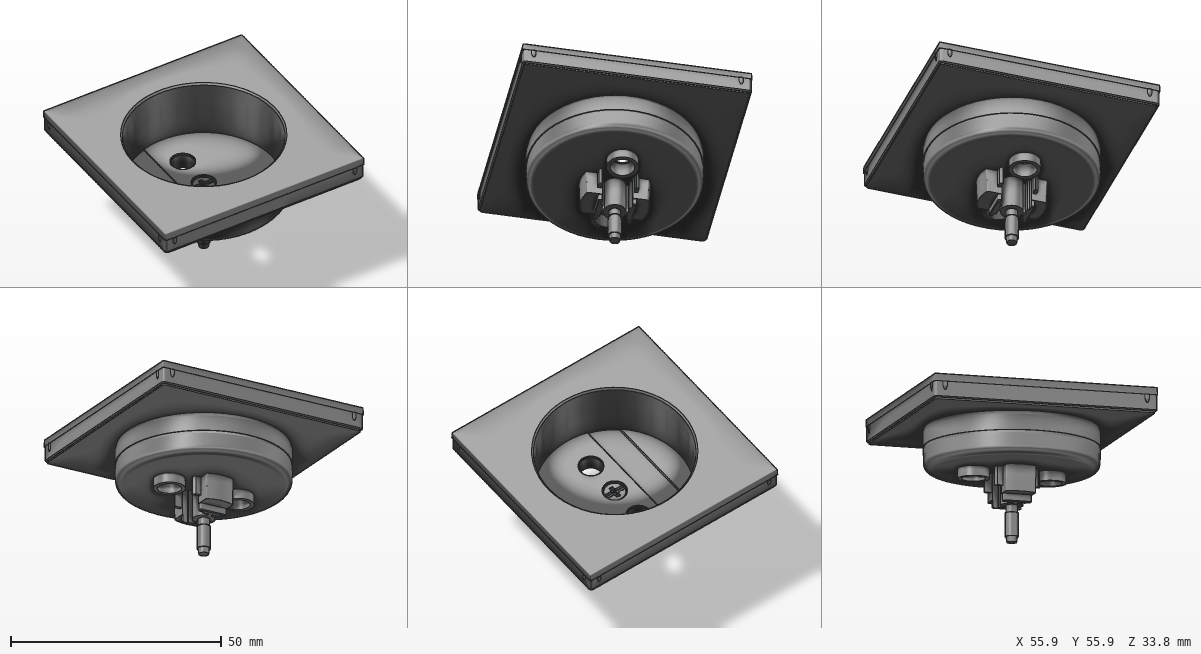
import cadquery as cq
import math

nub_reach = 27.95
frame_top = -1.85
ledge_top = -5.5
ledge_bottom = -5.75
plate_bottom = -6.15
ledge_inset = 0.4
rim_bottom_half = 27.8
frame_half = 27.7
rim_taper = 2
rim_edge_radius = 0.2
frame_corner_radius = 0.8

nub_offset = 25.15
nub_radius = 0.7
nub_straight_length = 1.2
nub_tip_length = 0.9

dish_bottom = -16.5
dish_radius = 21.15
dish_neck_radius = 20.85
dish_neck_bottom = -7.05
groove_top = -10.85
groove_bottom = -11.55
groove_depth = 0.15
dish_fillet_top = -14.65
dish_base_radius = 21.0

well_floor = -14.65
well_floor_radius = 19.05
well_top_radius = 19.35
well_rim_bevel = 0.45

label_top_y = -5.55
label_bottom_y = -12.5
label_depth = 0.3

socket_spacing = 19.0
socket_radius = 2.9
socket_mouth_radius = 2.95
socket_mouth_depth = 0.55
socket_bevel = 0.1
socket_boss_radius = 3.8
socket_boss_bottom = -18.9

block_half_width = 3.7
block_top_radius = 8.5
block_bottom_radius = 8.2
block_edge_radius = 0.3
block_bottom = -23.0
foot_half_width = 3.5
foot_half_length = 4.65
foot_bottom = -24.8
foot_bevel = 0.2
foot_corner_radius = 0.3
web_half_thickness = 0.55
pocket_half_length = 3.75
pocket_step_half_length = 3.25
pocket_step_x = 2.25
screw_boss_radius = 2.7

rib_round_radius = 7.0
rib_inner_y = 4.0
rib_outer_y = 4.85
rib_half_span = 5.6
rib_bottom = -21.1

head_radius = 2.9
head_bevel = 0.3
head_top = well_floor - 0.45
head_bottom = -16.1
head_hole_bevel = 0.1
shank_radius = 1.4
thread_radius = 1.55
thread_top = -26.65
tip_top = -32.4
tip_radius = 1.2
tip_shoulder_radius = 1.4
screw_bottom = -33.8
slot_width = 1.25
slot_length = 6.4
slot_depth = 0.65
slot_taper = 18
cross_length = 3.25
cross_width = 0.95
drive_mouth_radius = 1.05
drive_tip_radius = 0.35
drive_depth = 0.85


def box_between(x0, x1, y0, y1, z0, z1):
    """Axis-aligned box between two opposite corners."""
    return cq.Workplane("XY").box(x1 - x0, y1 - y0, z1 - z0, centered=False).translate((x0, y0, z0))


def cylinder_between(radius, z0, z1, x=0.0):
    """Vertical cylinder centred on Y = 0."""
    return cq.Workplane("XY", origin=(x, 0, z0)).circle(radius).extrude(z1 - z0)


def revolved(points):
    """Solid of revolution about Z from (radius, z) points."""
    return cq.Workplane("XZ").polyline(points).close().revolve(360, (0, 0, 0), (0, 1, 0))


def square_slab(half, z0, z1):
    return box_between(-half, half, -half, half, z0, z1)


def make_plate():
    """Square plate: tapered rim on top, round-cornered frame and a stepped ledge underneath."""
    rim = (
        cq.Workplane("XY", origin=(0, 0, frame_top))
        .rect(2 * rim_bottom_half, 2 * rim_bottom_half)
        .extrude(-frame_top, taper=rim_taper)
        .edges("not <Z")
        .fillet(rim_edge_radius)
    )
    frame = square_slab(frame_half, ledge_bottom, frame_top).edges("|Z").fillet(frame_corner_radius)
    frame = frame.faces("<Z").chamfer(ledge_top - ledge_bottom)
    ledge = square_slab(frame_half - ledge_inset, plate_bottom, ledge_bottom)
    ledge = ledge.edges("|Z").fillet(frame_corner_radius)
    return rim.union(frame).union(ledge)


def make_nub():
    """Round nub with a conical lower end, on the -Y side of the plate."""
    straight_bottom = frame_top - nub_straight_length
    tip_reach = nub_radius - (nub_reach - frame_half)
    nub = revolved([
        (0, frame_top),
        (nub_radius, frame_top),
        (nub_radius, straight_bottom),
        (tip_reach, straight_bottom - nub_tip_length),
        (0, straight_bottom - nub_tip_length),
    ])
    return nub.translate((0, nub_radius - nub_reach, 0))


def add_nubs(body):
    for angle in (0, 90, 180, 270):
        for side in (-1, 1):
            nub = make_nub().translate((side * nub_offset, 0, 0))
            body = body.union(nub.rotate((0, 0, 0), (0, 0, 1), angle))
    return body


def make_dish():
    """Outer round shell of the dish with its groove and rounded bottom edge."""
    rounding = dish_fillet_top - dish_bottom
    diagonal = rounding * math.sqrt(0.5)
    arc_center_radius = dish_base_radius - rounding
    return (
        cq.Workplane("XZ")
        .moveTo(0, frame_top)
        .lineTo(dish_neck_radius, frame_top)
        .lineTo(dish_neck_radius, plate_bottom)
        .lineTo(dish_radius, dish_neck_bottom)
        .lineTo(dish_radius, groove_top)
        .lineTo(dish_radius - groove_depth, groove_top)
        .lineTo(dish_radius, groove_bottom)
        .lineTo(dish_base_radius, dish_fillet_top)
        .threePointArc(
            (arc_center_radius + diagonal, dish_fillet_top - diagonal), (arc_center_radius, dish_bottom)
        )
        .lineTo(0, dish_bottom)
        .close()
        .revolve(360, (0, 0, 0), (0, 1, 0))
    )


def make_well():
    """Slightly tapered round well with a bevelled rim."""
    return revolved([
        (0, 0),
        (well_top_radius + well_rim_bevel, 0),
        (well_top_radius, -well_rim_bevel),
        (well_floor_radius, well_floor),
        (0, well_floor),
    ])


def make_label_recess():
    """Shallow band across the well floor; its lower edge is a 45 degree slope."""
    band = (
        cq.Workplane("YZ")
        .polyline([
            (label_top_y, well_floor),
            (label_top_y, well_floor - label_depth),
            (label_bottom_y + label_depth, well_floor - label_depth),
            (label_bottom_y, well_floor),
        ])
        .close()
        .extrude(well_floor_radius, both=True)
    )
    return band.intersect(cylinder_between(well_floor_radius, dish_bottom, 0))


def make_block_body():
    """Block with flat sides and rounded outer faces that taper downwards."""
    envelope = revolved([
        (0, dish_bottom),
        (block_top_radius, dish_bottom),
        (block_bottom_radius, block_bottom),
        (0, block_bottom),
    ])
    block = box_between(
        -block_half_width, block_half_width, -block_top_radius, block_top_radius, block_bottom, dish_bottom
    )
    corners = cq.selectors.BoxSelector(
        (-dish_radius, -dish_radius, block_bottom + block_edge_radius),
        (dish_radius, dish_radius, dish_bottom - block_edge_radius),
    )
    return block.intersect(envelope).edges(corners).fillet(block_edge_radius)


def cut_pockets(block):
    """Stepped pockets in both flat sides, open at the bottom."""
    for half_length, depth_x in (
        (pocket_half_length, pocket_step_x),
        (pocket_step_half_length, web_half_thickness),
    ):
        pocket = box_between(
            depth_x, block_half_width, -half_length, half_length, foot_bottom, dish_bottom
        )
        block = block.cut(pocket).cut(pocket.mirror("YZ"))
    return block


def make_clamp_block():
    """Block and foot with side pockets, and the screw boss standing in the pockets."""
    foot = box_between(
        -foot_half_width, foot_half_width, -foot_half_length, foot_half_length, foot_bottom, dish_bottom
    )
    foot = foot.edges("|Z").fillet(foot_corner_radius).faces("<Z").chamfer(foot_bevel)
    block = cut_pockets(make_block_body().union(foot))
    return block.union(cylinder_between(screw_boss_radius, foot_bottom, dish_bottom))


def add_ribs(body):
    envelope = cylinder_between(rib_round_radius, rib_bottom, dish_bottom)
    for y0 in (rib_inner_y, -rib_outer_y):
        rib = box_between(
            -rib_half_span, rib_half_span, y0, y0 + rib_outer_y - rib_inner_y, rib_bottom, dish_bottom
        )
        body = body.union(rib.intersect(envelope))
    return body


def cut_sockets(body):
    """Bossed through holes for the two plug pins."""
    for side in (-1, 1):
        x = side * socket_spacing / 2
        body = body.union(cylinder_between(socket_boss_radius, socket_boss_bottom, dish_bottom, x))
        hole = revolved([
            (0, well_floor),
            (socket_mouth_radius + socket_bevel, well_floor),
            (socket_mouth_radius, well_floor - socket_bevel),
            (socket_mouth_radius, well_floor - socket_mouth_depth),
            (socket_radius, well_floor - socket_mouth_depth),
            (socket_radius, socket_boss_bottom),
            (0, socket_boss_bottom),
        ])
        body = body.cut(hole.translate((x, 0, 0)))
    return body


def make_screw_hole():
    """Stepped hole that holds the screw head and shank."""
    return revolved([
        (0, well_floor),
        (head_radius + head_hole_bevel, well_floor),
        (head_radius, well_floor - head_hole_bevel),
        (head_radius, head_bottom),
        (shank_radius, head_bottom),
        (shank_radius, foot_bottom),
        (0, foot_bottom),
    ])


def make_cover():
    cover = add_nubs(make_plate()).union(make_dish())
    cover = add_ribs(cover.union(make_clamp_block()))
    cover = cover.cut(make_well()).cut(make_label_recess())
    return cut_sockets(cover).cut(make_screw_hole())


def make_screw():
    """Slotted screw with a cross recess, plain shank and threaded end."""
    screw = revolved([
        (0, head_top),
        (head_radius - head_bevel, head_top),
        (head_radius, head_top - head_bevel),
        (head_radius, head_bottom),
        (shank_radius, head_bottom),
        (shank_radius, thread_top),
        (thread_radius, thread_top),
        (thread_radius, tip_top),
        (tip_shoulder_radius, tip_top),
        (tip_radius, screw_bottom),
        (0, screw_bottom),
    ])
    top = cq.Workplane("XY", origin=(0, 0, head_top))
    slot = top.rect(slot_width, slot_length).extrude(-slot_depth, taper=slot_taper)
    cross = top.rect(cross_length, cross_width).extrude(-slot_depth, taper=slot_taper)
    center = revolved([
        (0, head_top),
        (drive_mouth_radius, head_top),
        (drive_tip_radius, head_top - drive_depth),
        (0, head_top - drive_depth),
    ])
    return screw.cut(slot).cut(cross).cut(center)


cover = make_cover()
screw = make_screw()

result = cq.Compound.makeCompound([cover.val(), screw.val()])